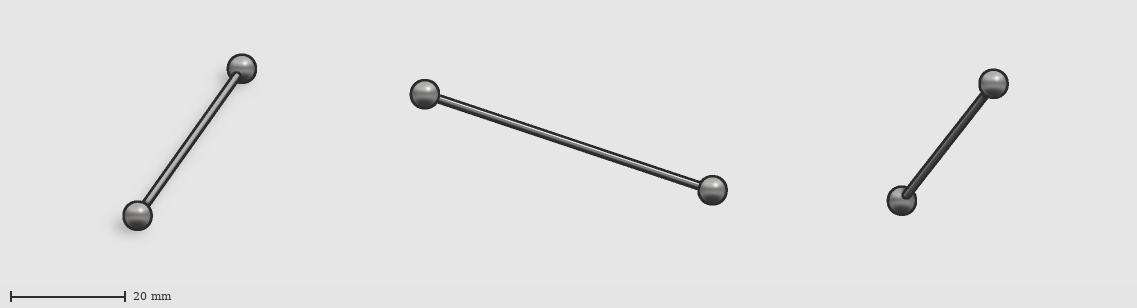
import cadquery as cq

overall_length = 58.0
ball_diameter = 5.0
rod_diameter = 1.3

ball_radius = ball_diameter / 2
center_spacing = overall_length - ball_diameter
center_offset = center_spacing / 2


def ball(y_center):
    """Solid ball centred on the Y axis."""
    return cq.Workplane("XY").sphere(ball_radius).translate((0, y_center, 0))


rod = cq.Workplane("XZ").circle(rod_diameter / 2).extrude(center_offset, both=True)

result = rod
for y_center in (-center_offset, center_offset):
    result = result.union(ball(y_center))